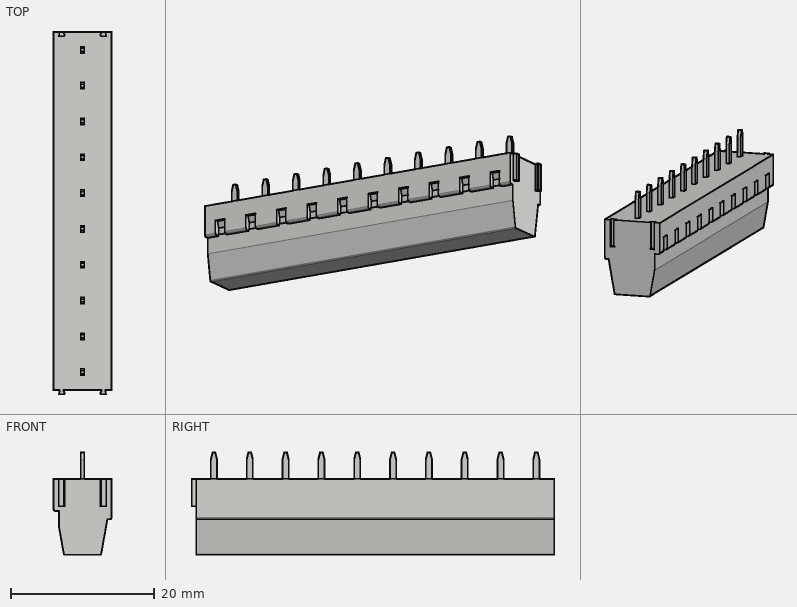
import cadquery as cq
import math

pin_count = 10
pitch = 5.0
pin_thickness = 0.5
pin_width = 0.9
pin_height = 3.71
pin_tip_width = 0.4
pin_tip_height = 1.0

body_length = pin_count * pitch
body_width = 8.1
body_height = 10.6
bottom_width = 5.2
step_depth = 0.76
left_step_z = 6.12
right_step_z = 4.95
taper_top_z = 3.87
step_fillet = 0.3
bottom_fillet = 0.2

notch_width = 1.5
notch_roof_depth = 0.56
notch_depth = 0.86
notch_top_z = 8.25
notch_floor_z = 6.38
notch_slope_end_z = 7.33

rib_outer_flare = 0.08
rib_base_width = 0.52
rib_inner_flare = 0.23
rib_tip_chamfer = 0.15
rib_depth = 0.6
rib_length = 3.83

half_width = body_width / 2
half_bottom = bottom_width / 2
front_y = -body_length / 2
back_y = body_length / 2
wall_x = half_width - step_depth
rib_outer_x = wall_x
wall_lean = math.atan2(wall_x - half_bottom, taper_top_z)
pin_positions = [front_y + pitch * (i + 0.5) for i in range(pin_count)]


def make_body():
    """Extrude the stepped, tapered housing along Y."""
    right_wall_top_x = half_bottom + right_step_z * math.tan(wall_lean)
    outline = [
        (-half_bottom, 0),
        (half_bottom, 0),
        (right_wall_top_x, right_step_z),
        (half_width, right_step_z),
        (half_width, body_height),
        (-half_width, body_height),
        (-half_width, left_step_z),
        (-wall_x, left_step_z),
        (-wall_x, taper_top_z),
    ]
    body = (
        cq.Workplane("XZ", origin=(0, back_y, 0))
        .polyline(outline)
        .close()
        .extrude(body_length)
    )
    body = body.faces("<Z").edges("|Y").fillet(bottom_fillet)
    step_edges = cq.selectors.BoxSelector(
        (-body_width, -body_length, right_step_z / 2),
        (body_width, body_length, (left_step_z + body_height) / 2),
    )
    return body.faces("<X or >X").edges("|Y").edges(step_edges).fillet(step_fillet)


def make_notch(y):
    """Cutter for a notch with a sloped back, open to the left and below."""
    return (
        cq.Workplane("XZ", origin=(0, y + notch_width / 2, 0))
        .moveTo(-half_width, left_step_z)
        .lineTo(-half_width, notch_top_z)
        .lineTo(-half_width + notch_roof_depth, notch_top_z)
        .lineTo(-half_width + notch_depth, notch_slope_end_z)
        .lineTo(-half_width + notch_depth, notch_floor_z)
        .lineTo(-wall_x, notch_floor_z)
        .lineTo(-wall_x, left_step_z)
        .close()
        .extrude(notch_width)
    )


def make_pin(y):
    """Flat pin standing on the body top, tapered at its tip."""
    tip_z = body_height + pin_height
    shoulder_z = tip_z - pin_tip_height
    outline = [
        (y - pin_width / 2, body_height),
        (y + pin_width / 2, body_height),
        (y + pin_width / 2, shoulder_z),
        (y + pin_tip_width / 2, tip_z),
        (y - pin_tip_width / 2, tip_z),
        (y - pin_width / 2, shoulder_z),
    ]
    return (
        cq.Workplane("YZ", origin=(-pin_thickness / 2, 0, 0))
        .polyline(outline)
        .close()
        .extrude(pin_thickness)
    )


def make_dovetail(side, base_y):
    """Vertical dovetail reaching toward -Y, with its inner tip corner chamfered."""
    tip_y = base_y - rib_depth
    base_outer_x = rib_outer_x - rib_outer_flare
    base_inner_x = base_outer_x - rib_base_width
    tip_inner_x = base_inner_x - rib_inner_flare
    outline = [
        (side * base_outer_x, base_y),
        (side * rib_outer_x, tip_y),
        (side * (tip_inner_x + rib_tip_chamfer), tip_y),
        (side * tip_inner_x, tip_y + rib_tip_chamfer),
        (side * base_inner_x, base_y),
    ]
    return (
        cq.Workplane("XY", origin=(0, 0, body_height - rib_length))
        .polyline(outline)
        .close()
        .extrude(rib_length)
    )


result = make_body()
for pin_y in pin_positions:
    result = result.cut(make_notch(pin_y))
    result = result.union(make_pin(pin_y))
for side in (-1, 1):
    result = result.union(make_dovetail(side, front_y))
    result = result.cut(make_dovetail(side, back_y))